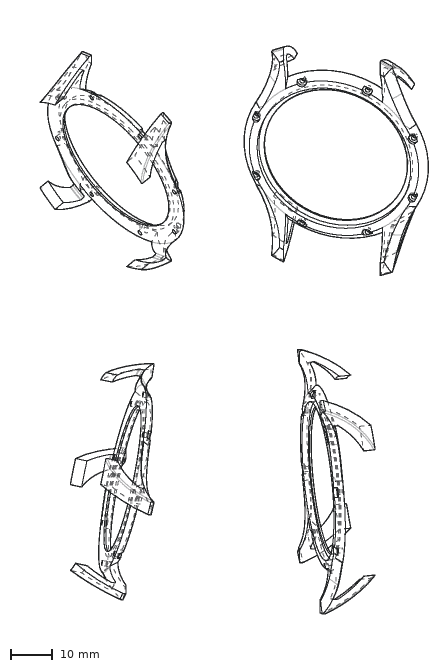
import cadquery as cq
import math

ring_radius = 23.0
bore_radius = 17.85
bore_lip_depth = 0.5
bore_recess_radius = 19.15
ring_thickness = 2.0
flank_width = 1.9

hole_count = 8
hole_circle_radius = 21.3
hole_diameter = 1.2
counterbore_diameter = 2.35
counterbore_depth = 0.8
first_hole_angle = 360 / hole_count / 2

lug_inner_x = 12.05
lug_tip_radius = math.hypot(29.55, lug_inner_x)
lug_back_y = 4.0
lug_rim_width = 0.8
lug_rim_round = 0.25
lug_front_y = lug_back_y - 12.5
lug_front_radius = 24.45
lug_end_width = 2.85
lug_crown_radius = 33.7
lug_edge_fillet = 0.6

arm_back_start = ring_radius - flank_width
arm_front_bend = 10.65
arm_back_bend = 15.35
arm_root_radius = 19.5

arm_flank_depth = 2.95
arm_flank_width = arm_flank_depth * flank_width / ring_thickness

notch_radius = 28.65
notch_front_y = 0.25
notch_curve_radius = 32.5
notch_fillet = 0.35

side_radius = 37.25
side_tangent_angle = math.radians(29.8)


def turned(outline):
    """Turn a closed (radius, y) outline about the Y axis."""
    return outline.close().revolve(360, (0, 0, 0), (0, 1, 0))


def bend_point(start_radius, start_y, bend_radius, radius):
    """Point at a given radius on an arm arc that leaves the flat at start_radius."""
    drop = math.sqrt(bend_radius**2 - (radius - start_radius) ** 2)
    return radius, start_y + bend_radius - drop


def make_ring():
    section = cq.Workplane("XY").polyline([
        (bore_radius, 0),
        (ring_radius, 0),
        (ring_radius - flank_width, ring_thickness),
        (bore_recess_radius, ring_thickness),
        (bore_recess_radius, bore_lip_depth),
        (bore_radius, bore_lip_depth),
    ])
    return turned(section)


def make_lug_blank(bend_start, back_y, bend_radius):
    """Turned body of arm and lug, solid at the front, with the given arc as its back."""
    middle_radius = (bend_start + lug_tip_radius) / 2
    section = (
        cq.Workplane("XY")
        .moveTo(arm_root_radius, lug_front_y)
        .lineTo(lug_front_radius, lug_front_y)
        .radiusArc((lug_tip_radius, lug_back_y - lug_rim_width), -lug_crown_radius)
        .lineTo(*bend_point(bend_start, back_y, bend_radius, lug_tip_radius))
        .threePointArc(
            bend_point(bend_start, back_y, bend_radius, middle_radius),
            (bend_start, back_y),
        )
        .lineTo(arm_root_radius, back_y)
    )
    return turned(section)


def make_side_prism():
    """Prism along Y bounded by the flat inner side and the concave outer side of one lug."""
    center_distance = ring_radius + side_radius
    center_x = center_distance * math.cos(side_tangent_angle)
    center_z = center_distance * math.sin(side_tangent_angle)
    top_z = lug_tip_radius + 0.6

    def side_point(z):
        return center_x - math.sqrt(side_radius**2 - (z - center_z) ** 2), z

    tangent_z = ring_radius * math.sin(side_tangent_angle)
    root_x = arm_root_radius * math.cos(side_tangent_angle)
    root_z = arm_root_radius * math.sin(side_tangent_angle)
    return (
        cq.Workplane("XZ")
        .moveTo(lug_inner_x, top_z)
        .lineTo(*side_point(top_z))
        .threePointArc(side_point((top_z + tangent_z) / 2), side_point(tangent_z))
        .lineTo(root_x, root_z)
        .lineTo(lug_inner_x, root_z)
        .close()
        .extrude(lug_tip_radius, both=True)
    )


def make_notch():
    """Turned space in front of the arm and behind the lug."""
    middle_radius = (ring_radius + notch_radius) / 2
    section = (
        cq.Workplane("XY")
        .moveTo(0, lug_front_y - 0.6)
        .lineTo(lug_front_radius, lug_front_y - 0.6)
        .lineTo(lug_front_radius, lug_front_y + lug_end_width)
        .radiusArc((notch_radius, notch_front_y), -notch_curve_radius)
        .lineTo(*bend_point(ring_radius, 0, arm_front_bend, notch_radius))
        .threePointArc(
            bend_point(ring_radius, 0, arm_front_bend, middle_radius),
            (ring_radius, 0),
        )
        .lineTo(0, 0)
    )
    widest = cq.selectors.RadiusNthSelector(-1)
    return turned(section).faces("%CYLINDER").edges("%CIRCLE").edges(widest).fillet(notch_fillet)


def make_lug():
    """Lug and arm in the +X, +Z quarter."""
    prism = make_side_prism()

    flanked = make_lug_blank(ring_radius, arm_flank_depth, arm_front_bend).intersect(prism)
    outside_back = cq.selectors.NearestToPointSelector((ring_radius, lug_back_y, ring_radius))
    flank_edge = flanked.edges("%BSPLINE").edges(outside_back)
    flanked = flank_edge.chamfer(arm_flank_width, arm_flank_depth)

    rounded = make_lug_blank(arm_back_start, ring_thickness, arm_back_bend).intersect(prism)
    outside_front = cq.selectors.NearestToPointSelector((ring_radius, lug_front_y, ring_radius))
    crown_edge = rounded.edges("%BSPLINE").edges(outside_front)
    rounded = crown_edge.fillet(lug_edge_fillet)

    past_back = (
        cq.Workplane("XZ", origin=(0, lug_back_y, 0))
        .circle(2 * lug_tip_radius)
        .extrude(-lug_tip_radius)
    )
    lug = rounded.intersect(flanked).cut(past_back).cut(make_notch())

    rim_edges = lug.edges("%CIRCLE").edges(cq.selectors.RadiusNthSelector(-1))
    return rim_edges.edges(">Y").fillet(lug_rim_round)


def make_hole_pattern(diameter, front_y):
    """Round cutters on the hole circle, reaching from front_y to the ring back."""
    return (
        cq.Workplane("XZ", origin=(0, front_y, 0))
        .polarArray(hole_circle_radius, first_hole_angle, 360, hole_count)
        .circle(diameter / 2)
        .extrude(front_y - ring_thickness)
    )


right_upper_lug = make_lug()
upper_lugs = right_upper_lug.union(right_upper_lug.mirror("YZ"))
lugs = upper_lugs.union(upper_lugs.mirror("XY"))
through_holes = make_hole_pattern(hole_diameter, 0)
counterbores = make_hole_pattern(counterbore_diameter, ring_thickness - counterbore_depth)
result = make_ring().union(lugs).cut(through_holes).cut(counterbores)